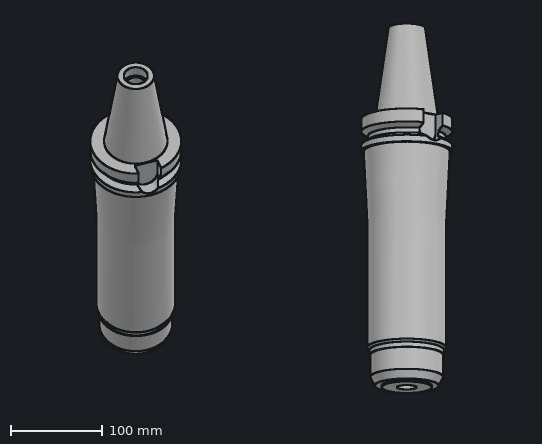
import cadquery as cq

total_height = 404.0
flange_top_z = 301.5
upper_collar_z = 287.0
groove_top_z = 282.0
groove_bottom_z = 276.5
lower_collar_z = 272.0
flange_bottom_z = 264.8
cone_bottom_z = 183.0
body_bottom_z = 44.5
step_top_z = 41.5
step_bottom_z = 36.0
nose_chamfer_z = 11.5
end_face_height = 1.5

flange_radius = 100.0 / 2
taper_base_radius = 34.8
taper_tip_radius = 20.2
groove_radius = 42.5
cone_top_radius = 47.3
body_radius = 43.2
step_radius = 41.0
nose_radius = 40.0
nose_end_radius = 35.0
end_face_radius = 27.5

through_bore_radius = 10.5
counterbore_radius = 13.0
counterbore_depth = 13.5

slot_width = 26.0
slot_bottom_z = 268.5
slot_floor_x = 35.5


def make_body():
    """Revolve the outer profile: tool taper, grooved flange and long shank."""
    profile = [
        (0, 0),
        (end_face_radius, 0),
        (end_face_radius, end_face_height),
        (nose_end_radius, end_face_height),
        (nose_radius, nose_chamfer_z),
        (nose_radius, step_bottom_z),
        (step_radius, step_bottom_z),
        (step_radius, step_top_z),
        (body_radius, body_bottom_z),
        (body_radius, cone_bottom_z),
        (cone_top_radius, flange_bottom_z),
        (flange_radius, flange_bottom_z),
        (flange_radius, lower_collar_z),
        (groove_radius, groove_bottom_z),
        (groove_radius, groove_top_z),
        (flange_radius, upper_collar_z),
        (flange_radius, flange_top_z),
        (taper_base_radius, flange_top_z),
        (taper_tip_radius, total_height),
        (0, total_height),
    ]
    return cq.Workplane("XZ").polyline(profile).close().revolve(360, (0, 0), (0, 1))


def make_bore():
    """Through bore with a counterbore at the taper tip."""
    through = cq.Workplane("XY").circle(through_bore_radius).extrude(total_height)
    counterbore = (
        cq.Workplane("XY")
        .workplane(offset=total_height - counterbore_depth)
        .circle(counterbore_radius)
        .extrude(counterbore_depth)
    )
    return through.union(counterbore)


def make_drive_slot(side):
    """Round-bottomed slot, open upward and outward; side is -1 or +1 along X."""
    half_width = slot_width / 2
    arc_center_z = slot_bottom_z + half_width
    slot_depth = flange_radius - slot_floor_x
    return (
        cq.Workplane("YZ")
        .workplane(offset=side * slot_floor_x)
        .moveTo(-half_width, flange_top_z)
        .lineTo(-half_width, arc_center_z)
        .threePointArc((0, slot_bottom_z), (half_width, arc_center_z))
        .lineTo(half_width, flange_top_z)
        .close()
        .extrude(side * slot_depth)
    )


result = make_body().cut(make_bore())
for side in (-1, 1):
    result = result.cut(make_drive_slot(side))